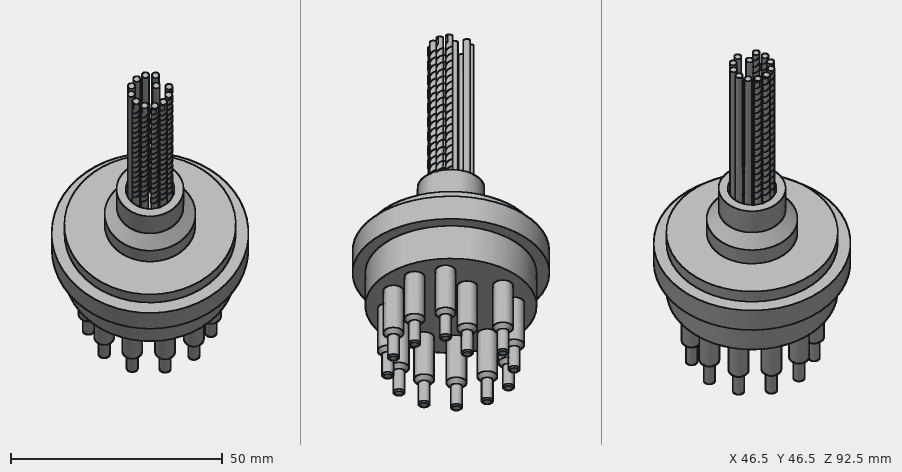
import cadquery as cq
import math

BODY_DIAMETER = 40.5
BODY_BOTTOM = 19.15
BODY_TOP = 38.1
FLANGE_DIAMETER = 46.5
FLANGE_BOTTOM = 28.4
FLANGE_TOP = 34.8

GLAND_DIAMETER = 21.5
GLAND_CONE_BOTTOM = 42.55
GLAND_CONE_TOP = 45.6
NECK_DIAMETER = 15.8
NECK_TOP = 52.5
BORE_DIAMETER = 11.5
BORE_DEPTH = 6.9
BORE_FLOOR = NECK_TOP - BORE_DEPTH

ROOT_DEPTH = 0.9

PIN_DIAMETER = 4.8
PIN_SHOULDER = 7.2
PIN_TIP_DIAMETER = 2.8
PIN_TIP_TOP = 6.1
PIN_TIP_CHAMFER = 0.4
PIN_CIRCLE_RADIUS = 15.0
INNER_PIN_RADIUS = 9.1

WIRE_RADIUS = 0.85
WIRE_TOP = 92.5
WIRE_TO_BORE_GAP = 0.305
WIRE_CIRCLE_RADIUS = BORE_DIAMETER / 2 - WIRE_TO_BORE_GAP - WIRE_RADIUS
INNER_WIRE_RADIUS = 2.0

STRIPE_HEIGHT = 0.02
STRIPE_PITCHES = 10
STRIPE_PITCH = (WIRE_TOP - NECK_TOP) / STRIPE_PITCHES
STRIPE_WIDTH = STRIPE_PITCH / 2
STRIPE_TURNS = STRIPE_PITCHES - STRIPE_WIDTH / STRIPE_PITCH
STRIPE_ROOT = 0.2

STRIPE_END_ANGLES = {60: 40, 30: 40, 0: -20, -30: -20, -60: -80, -90: -80}

POSITION_COUNT = 12
ANGLE_STEP = 360 / POSITION_COUNT
KEY_ANGLE = 90


def polar_point(radius, angle):
    """Return the XY point at a radius and an angle in degrees."""
    return (
        radius * math.cos(math.radians(angle)),
        radius * math.sin(math.radians(angle)),
    )


def contact_points(circle_radius, inner_radius):
    """Return the ring of contact centres, with the key contact nearer the axis."""
    points = []
    for index in range(POSITION_COUNT):
        angle = KEY_ANGLE + index * ANGLE_STEP
        radius = inner_radius if index == 0 else circle_radius
        points.append(polar_point(radius, angle))
    return points


def make_body():
    """Revolve the flanged body with its gland and blind bore."""
    body_radius = BODY_DIAMETER / 2
    flange_radius = FLANGE_DIAMETER / 2
    gland_radius = GLAND_DIAMETER / 2
    neck_radius = NECK_DIAMETER / 2
    bore_radius = BORE_DIAMETER / 2
    profile = [
        (0, BODY_BOTTOM),
        (body_radius, BODY_BOTTOM),
        (body_radius, FLANGE_BOTTOM),
        (flange_radius, FLANGE_BOTTOM),
        (flange_radius, FLANGE_TOP),
        (body_radius, FLANGE_TOP),
        (body_radius, BODY_TOP),
        (gland_radius, BODY_TOP),
        (gland_radius, GLAND_CONE_BOTTOM),
        (neck_radius, GLAND_CONE_TOP),
        (neck_radius, NECK_TOP),
        (bore_radius, NECK_TOP),
        (bore_radius, BORE_FLOOR),
        (0, BORE_FLOOR),
    ]
    return cq.Workplane("XZ").polyline(profile).close().revolve(360, (0, 0), (0, 1))


def make_pin():
    """Revolve one stepped contact pin about the Z axis."""
    tip_radius = PIN_TIP_DIAMETER / 2
    pin_radius = PIN_DIAMETER / 2
    profile = [
        (0, 0),
        (tip_radius - PIN_TIP_CHAMFER, 0),
        (tip_radius, PIN_TIP_CHAMFER),
        (tip_radius, PIN_TIP_TOP),
        (pin_radius, PIN_SHOULDER),
        (pin_radius, BODY_BOTTOM + ROOT_DEPTH),
        (0, BODY_BOTTOM + ROOT_DEPTH),
    ]
    return cq.Workplane("XZ").polyline(profile).close().revolve(360, (0, 0), (0, 1))


def make_wire():
    """Extrude one plain wire about the Z axis, rooted in the body."""
    return (
        cq.Workplane("XY", origin=(0, 0, BORE_FLOOR - ROOT_DEPTH))
        .circle(WIRE_RADIUS)
        .extrude(WIRE_TOP - BORE_FLOOR + ROOT_DEPTH)
    )


def make_stripe(end_angle):
    """Sweep the helical stripe that winds up a wire and ends at the given angle."""
    rise = STRIPE_PITCH * STRIPE_TURNS
    section_radius = WIRE_RADIUS + (STRIPE_HEIGHT - STRIPE_ROOT) / 2
    helix = cq.Workplane(cq.Wire.makeHelix(STRIPE_PITCH, rise, WIRE_RADIUS))
    stripe = (
        cq.Workplane("XZ")
        .center(section_radius, STRIPE_WIDTH / 2)
        .rect(STRIPE_HEIGHT + STRIPE_ROOT, STRIPE_WIDTH)
        .sweep(helix, isFrenet=True)
    )
    start_angle = end_angle - 360 * STRIPE_TURNS
    return stripe.rotate((0, 0, 0), (0, 0, 1), start_angle).translate(
        (0, 0, WIRE_TOP - STRIPE_WIDTH - rise)
    )


result = make_body()

pin = make_pin()
for x, y in contact_points(PIN_CIRCLE_RADIUS, INNER_PIN_RADIUS):
    result = result.union(pin.translate((x, y, 0)))

plain_wire = make_wire()
for x, y in contact_points(WIRE_CIRCLE_RADIUS, INNER_WIRE_RADIUS):
    result = result.union(plain_wire.translate((x, y, 0)))

for wire_angle, end_angle in STRIPE_END_ANGLES.items():
    x, y = polar_point(WIRE_CIRCLE_RADIUS, wire_angle)
    striped_wire = plain_wire.union(make_stripe(end_angle))
    result = result.union(striped_wire.translate((x, y, 0)))